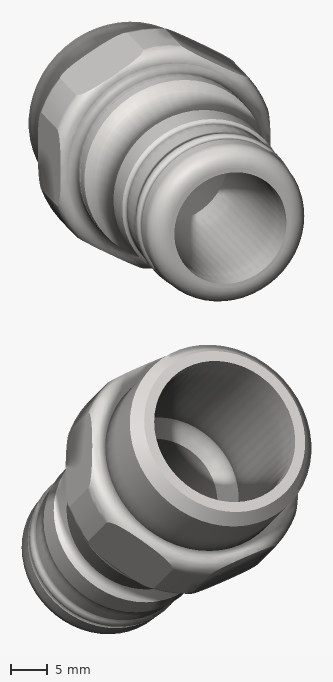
import cadquery as cq
import math


ENTRY_CHAMFER_END = 1.6
NUT_START = 11.1
NUT_END = 22.05
SHOULDER_FILLET_END = 23.25
SHOULDER_STEP = 24.15
SHOULDER_END = 26.05
NECK_START = 31.1
COLLAR_START = 34.2
COLLAR_RIM_START = 35.2
COLLAR_RIM_END = 39.1
PLUG_START = 39.75
GROOVE_START = 43.4
GROOVE_END = 46.5
LENGTH = 51.0

ENTRY_FACE_RADIUS = 23.4 / 2
BARREL_RADIUS = 26.4 / 2
NUT_RADIUS = 32.0 / 2
SHOULDER_RADIUS = 26.0 / 2
SHOULDER_END_RADIUS = 25.95 / 2
NECK_RADIUS = 20.4 / 2
COLLAR_RADIUS = 23.4 / 2
PLUG_RADIUS = 22.5 / 2

NUT_ACROSS_FLATS = 30.0
NUT_ROUNDING = 2.0
PLUG_ROUNDING = 2.6

ENTRY_BORE_RADIUS = 20.5 / 2
THROUGH_BORE_RADIUS = 16.0 / 2
ENTRY_BORE_DEPTH = NUT_END
BORE_CONE_LENGTH = ENTRY_BORE_RADIUS - THROUGH_BORE_RADIUS

RING_OUTER_RADIUS = 23.05 / 2
RING_SECTION_RADIUS = 1.3
RING_CENTRE_RADIUS = RING_OUTER_RADIUS - RING_SECTION_RADIUS
RING_CENTRE_X = (GROOVE_START + GROOVE_END) / 2
GROOVE_RADIUS = RING_CENTRE_RADIUS - RING_SECTION_RADIUS

DIAGONAL = math.sqrt(0.5)


def round_over_mid(centre_x, centre_radius, rounding, side):
    """Middle point of a quarter-round; side is -1 toward the entry, +1 toward the plug."""
    return (centre_x + side * rounding * DIAGONAL, centre_radius + rounding * DIAGONAL)


def tangent_cove_mid(rim, foot):
    """Middle point of a concave arc from rim to foot that ends tangent to the axis direction at foot."""
    run = foot[0] - rim[0]
    rise = rim[1] - foot[1]
    arc_radius = (run**2 + rise**2) / (2 * rise)
    half_angle = math.asin(abs(run) / arc_radius) / 2
    mid_x = foot[0] - math.copysign(arc_radius * math.sin(half_angle), run)
    return (mid_x, foot[1] + arc_radius * (1 - math.cos(half_angle)))


def make_outer_body():
    """Solid of revolution that carries every outside diameter, including the O-ring groove."""
    nut_edge_radius = NUT_RADIUS - NUT_ROUNDING
    nut_flat_start = NUT_START + NUT_ROUNDING
    nut_flat_end = NUT_END - NUT_ROUNDING
    plug_flat_end = LENGTH - PLUG_ROUNDING
    plug_edge_radius = PLUG_RADIUS - PLUG_ROUNDING
    nut_edge = (NUT_END, nut_edge_radius)
    shoulder_foot = (SHOULDER_FILLET_END, SHOULDER_RADIUS)
    shoulder_rim = (SHOULDER_END, SHOULDER_END_RADIUS)
    neck_foot = (NECK_START, NECK_RADIUS)

    profile = (
        cq.Workplane("XY")
        .moveTo(0, 0)
        .lineTo(0, ENTRY_FACE_RADIUS)
        .lineTo(ENTRY_CHAMFER_END, BARREL_RADIUS)
        .lineTo(NUT_START, BARREL_RADIUS)
        .lineTo(NUT_START, nut_edge_radius)
        .threePointArc(
            round_over_mid(nut_flat_start, nut_edge_radius, NUT_ROUNDING, -1),
            (nut_flat_start, NUT_RADIUS),
        )
        .lineTo(nut_flat_end, NUT_RADIUS)
        .threePointArc(round_over_mid(nut_flat_end, nut_edge_radius, NUT_ROUNDING, 1), nut_edge)
        .threePointArc(tangent_cove_mid(nut_edge, shoulder_foot), shoulder_foot)
        .lineTo(SHOULDER_STEP, SHOULDER_RADIUS)
        .lineTo(SHOULDER_STEP, SHOULDER_END_RADIUS)
        .lineTo(*shoulder_rim)
        .threePointArc(tangent_cove_mid(shoulder_rim, neck_foot), neck_foot)
        .lineTo(COLLAR_START, NECK_RADIUS)
        .lineTo(COLLAR_RIM_START, COLLAR_RADIUS)
        .lineTo(COLLAR_RIM_END, COLLAR_RADIUS)
        .lineTo(PLUG_START, PLUG_RADIUS)
        .lineTo(GROOVE_START, PLUG_RADIUS)
        .lineTo(GROOVE_START, GROOVE_RADIUS)
        .lineTo(GROOVE_END, GROOVE_RADIUS)
        .lineTo(GROOVE_END, PLUG_RADIUS)
        .lineTo(plug_flat_end, PLUG_RADIUS)
        .threePointArc(
            round_over_mid(plug_flat_end, plug_edge_radius, PLUG_ROUNDING, 1),
            (LENGTH, plug_edge_radius),
        )
        .lineTo(LENGTH, 0)
        .close()
    )
    return profile.revolve(360, (0, 0, 0), (1, 0, 0))


def make_hex_envelope():
    """Hexagonal prism over the full length, with flats facing +Y and -Y and corners on +Z and -Z."""
    corner_diameter = NUT_ACROSS_FLATS / math.cos(math.radians(30))
    return (
        cq.Workplane("YZ")
        .polygon(6, corner_diameter)
        .extrude(LENGTH)
        .rotate((0, 0, 0), (1, 0, 0), 90)
    )


def make_bore():
    """Stepped through bore with a conical transition."""
    cone_end = ENTRY_BORE_DEPTH + BORE_CONE_LENGTH
    return (
        cq.Workplane("XY")
        .moveTo(0, 0)
        .lineTo(0, ENTRY_BORE_RADIUS)
        .lineTo(ENTRY_BORE_DEPTH, ENTRY_BORE_RADIUS)
        .lineTo(cone_end, THROUGH_BORE_RADIUS)
        .lineTo(LENGTH, THROUGH_BORE_RADIUS)
        .lineTo(LENGTH, 0)
        .close()
        .revolve(360, (0, 0, 0), (1, 0, 0))
    )


def make_connector():
    """Connector body: turned outside, hexagonal flats on the nut, bored through."""
    return make_outer_body().intersect(make_hex_envelope()).cut(make_bore())


def make_seal_ring():
    """O-ring around the X axis."""
    return (
        cq.Workplane("XY")
        .center(RING_CENTRE_X, RING_CENTRE_RADIUS)
        .circle(RING_SECTION_RADIUS)
        .revolve(360, (0, -RING_CENTRE_RADIUS, 0), (1, -RING_CENTRE_RADIUS, 0))
    )


connector = make_connector()
seal_ring = make_seal_ring()

result = cq.Compound.makeCompound([connector.val(), seal_ring.val()])